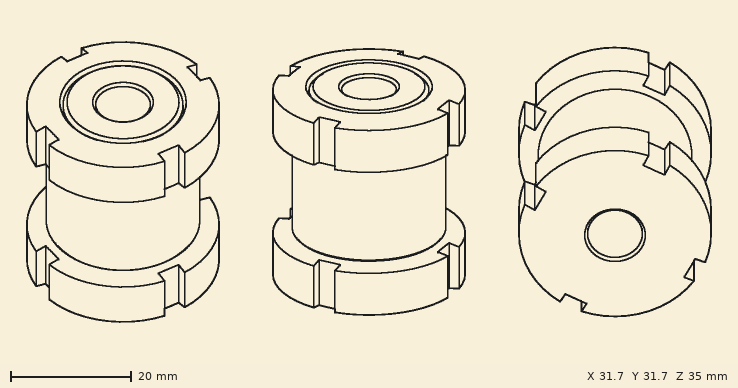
import cadquery as cq

total_height = 35.0
flange_radius = 16.0
flange_height = 8.8
flange_flat_radius = 12.8
flange_cone_drop = 0.55
slot_width = 4.0
slot_floor_radius = 14.0
slot_count = 4

sleeve_radius = 12.78
sleeve_edge_chamfer = 0.35

stem_radius = 9.98
stem_chamfer = 0.65
bore_radius = 4.55
bore_chamfer = 0.5

stem_hole_radius = 10.5


def cylinder(radius, bottom, top):
    """Cylinder about Z between two heights."""
    return cq.Workplane("XY").workplane(offset=bottom).circle(radius).extrude(top - bottom)


def slotted_flange(bottom):
    """Flange with slightly conical end faces and wrench slots in its rim."""
    top = bottom + flange_height
    flange = (
        cq.Workplane("XZ")
        .moveTo(0, bottom)
        .lineTo(flange_flat_radius, bottom)
        .lineTo(flange_radius, bottom + flange_cone_drop)
        .lineTo(flange_radius, top - flange_cone_drop)
        .lineTo(flange_flat_radius, top)
        .lineTo(0, top)
        .close()
        .revolve(360, (0, 0, 0), (0, 1, 0))
    )
    cutter_length = flange_radius
    slot_center_radius = slot_floor_radius + cutter_length / 2
    slots = (
        cq.Workplane("XY")
        .workplane(offset=bottom)
        .polarArray(slot_center_radius, 0, 360, slot_count)
        .rect(cutter_length, slot_width)
        .extrude(flange_height)
    )
    return flange.cut(slots)


def make_base():
    """Lower flange with the bored stem that rises through the upper body."""
    stem = cylinder(stem_radius, 0, total_height).faces(">Z").chamfer(stem_chamfer)
    base = slotted_flange(0).union(stem).cut(cylinder(bore_radius, 0, total_height))
    bore_rims = base.edges(cq.selectors.RadiusNthSelector(0))
    return bore_rims.chamfer(bore_chamfer)


def make_upper():
    """Upper flange with its sleeve, resting on the base and bored to clear the stem."""
    sleeve = cylinder(sleeve_radius, flange_height, total_height - flange_height)
    sleeve = sleeve.faces("<Z").chamfer(sleeve_edge_chamfer)
    upper = slotted_flange(total_height - flange_height).union(sleeve)
    return upper.cut(cylinder(stem_hole_radius, flange_height, total_height))


base = make_base()
upper = make_upper()

result = cq.Compound.makeCompound([base.val(), upper.val()])